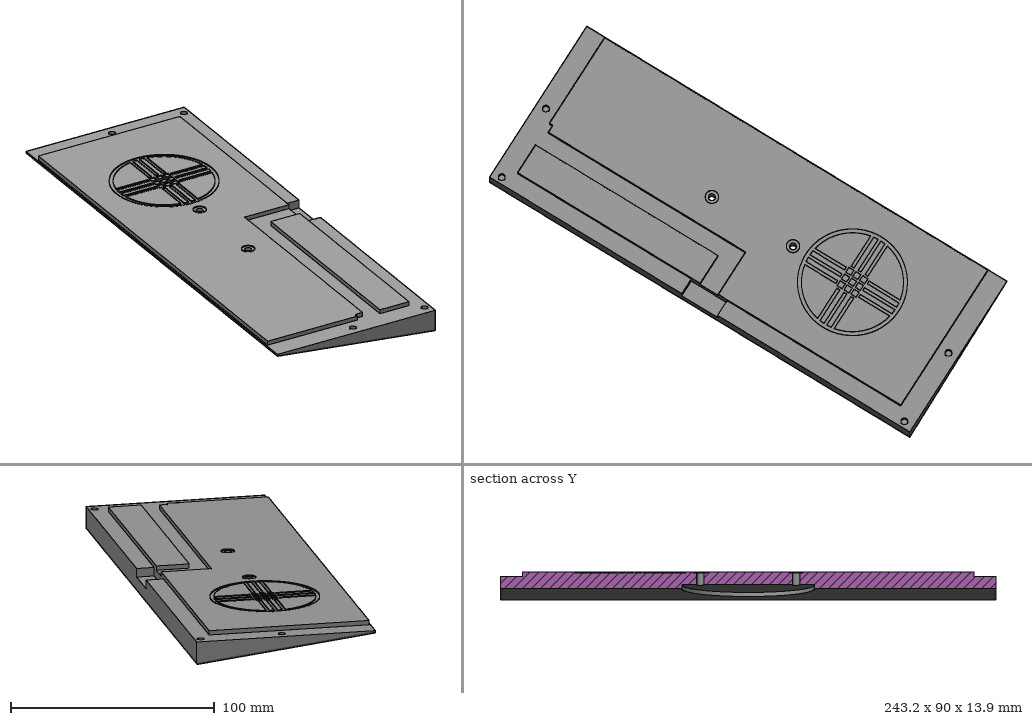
import cadquery as cq
import math

LENGTH = 243.2
DEPTH = 90.0
HEIGHT = 13.9
PLATE_HEIGHT = 2.2
LEDGE_Z = HEIGHT - PLATE_HEIGHT
FRONT_THICKNESS = 1.5
FRONT_BOTTOM_Z = LEDGE_Z - FRONT_THICKNESS
BOTTOM_RADIUS = 0.85
SLOPE = math.atan2(FRONT_BOTTOM_Z, DEPTH)
ROUNDING_LOSS = BOTTOM_RADIUS * (math.tan(SLOPE) + 1 / math.cos(SLOPE) - 1)

PLATE_SIDE_MARGIN = 10.7
PLATE_LEFT = PLATE_SIDE_MARGIN
PLATE_RIGHT = LENGTH - PLATE_SIDE_MARGIN
PLATE_FRONT = 0.7
PLATE_BACK = DEPTH - 8.8

CHANNEL_X = LENGTH / 2
ENTRY_WIDTH = 10.5
RUN_WIDTH = 8.8
RUN_FRONT = 56.0
RELIEF_LENGTH = 2.0
RELIEF_WIDTH = 4.1
NOTCH_WIDTH = 20.7
NOTCH_DEPTH = 4.4

CENTER_Y = 41.0

GRILLE_X = 63.7
RING_DIAMETER = 54.0
RING_INNER_DIAMETER = 50.0
GROOVE_COUNT = 3
GROOVE_WIDTH = 1.6
GROOVE_DEPTH = 0.5
CELL_SIZE = 3.0
CELL_WALL = 1.1
GROOVE_PITCH = CELL_SIZE + CELL_WALL
HUB_SIZE = GROOVE_COUNT * GROOVE_PITCH + CELL_WALL

RECESS_X = LENGTH / 2
RECESS_DIAMETER = 65.0
RECESS_DEPTH = 2.0

SCREW_SPACING = 47.0
SCREW_DIAMETER = 3.5
COUNTERBORE_DIAMETER = 6.5
COUNTERBORE_DEPTH = 0.5

PIN_DIAMETER = 3.5
PIN_DEPTH = 2.5
PIN_SIDE_MARGIN = 5.0
PIN_BACK_MARGIN = 3.2
PIN_ROW_SPACING = 40.9
PIN_ROWS = 2


def block(x_min, x_max, y_min, y_max, z_min, z_max):
    size = (x_max - x_min, y_max - y_min, z_max - z_min)
    return cq.Workplane("XY").box(*size, centered=False).translate((x_min, y_min, z_min))


def disc_below(x, y, diameter, top_z, depth):
    return cq.Workplane("XY", origin=(x, y, top_z)).circle(diameter / 2).extrude(-depth)


def wedge():
    profile = [(0, FRONT_BOTTOM_Z), (DEPTH, -ROUNDING_LOSS), (DEPTH, LEDGE_Z), (0, LEDGE_Z)]
    body = cq.Workplane("YZ").polyline(profile).close().extrude(LENGTH)
    return body.faces("<Z").edges().fillet(BOTTOM_RADIUS)


def plate():
    entry_left = CHANNEL_X - ENTRY_WIDTH / 2
    entry_right = CHANNEL_X + ENTRY_WIDTH / 2
    run_back = RUN_FRONT + RUN_WIDTH
    relief_left = PLATE_RIGHT - RELIEF_LENGTH
    relief_front = RUN_FRONT - RELIEF_WIDTH

    body = block(PLATE_LEFT, PLATE_RIGHT, PLATE_FRONT, PLATE_BACK, LEDGE_Z, HEIGHT)
    entry = block(entry_left, entry_right, RUN_FRONT, PLATE_BACK, LEDGE_Z, HEIGHT)
    run = block(entry_left, PLATE_RIGHT, RUN_FRONT, run_back, LEDGE_Z, HEIGHT)
    relief = block(relief_left, PLATE_RIGHT, relief_front, RUN_FRONT, LEDGE_Z, HEIGHT)
    return body.cut(entry).cut(run).cut(relief)


def back_notch():
    left = CHANNEL_X - NOTCH_WIDTH / 2
    right = CHANNEL_X + NOTCH_WIDTH / 2
    return block(left, right, PLATE_BACK, DEPTH, LEDGE_Z - NOTCH_DEPTH, LEDGE_Z)


def grille_disc(diameter):
    return disc_below(GRILLE_X, CENTER_Y, diameter, HEIGHT, GROOVE_DEPTH)


def grille_blocks(columns, rows, width, height):
    centers = cq.Workplane("XY", origin=(GRILLE_X, CENTER_Y, HEIGHT))
    grid = centers.rarray(GROOVE_PITCH, GROOVE_PITCH, columns, rows)
    return grid.rect(width, height).extrude(-GROOVE_DEPTH)


def grille_grooves():
    disc = grille_disc(RING_DIAMETER)
    ring = disc.cut(grille_disc(RING_INNER_DIAMETER))

    upright_arms = grille_blocks(GROOVE_COUNT, 1, GROOVE_WIDTH, RING_DIAMETER)
    level_arms = grille_blocks(1, GROOVE_COUNT, RING_DIAMETER, GROOVE_WIDTH)
    hub = grille_blocks(1, 1, HUB_SIZE, HUB_SIZE)
    arms = upright_arms.union(level_arms).intersect(disc).cut(hub)

    cells = grille_blocks(GROOVE_COUNT, GROOVE_COUNT, CELL_SIZE, CELL_SIZE)
    return ring.union(arms).union(cells)


def bottom_recess():
    rim_z = FRONT_BOTTOM_Z - (FRONT_BOTTOM_Z + ROUNDING_LOSS) * CENTER_Y / DEPTH
    disc = cq.Workplane("XY").circle(RECESS_DIAMETER / 2).extrude(RECESS_DEPTH, both=True)
    tilted = disc.rotate((0, 0, 0), (1, 0, 0), -math.degrees(SLOPE))
    return tilted.translate((RECESS_X, CENTER_Y, rim_z))


result = wedge().union(plate())
result = result.cut(back_notch()).cut(grille_grooves()).cut(bottom_recess())

for screw_x in (RECESS_X - SCREW_SPACING / 2, RECESS_X + SCREW_SPACING / 2):
    result = result.cut(disc_below(screw_x, CENTER_Y, SCREW_DIAMETER, HEIGHT, HEIGHT))
    result = result.cut(disc_below(screw_x, CENTER_Y, COUNTERBORE_DIAMETER, HEIGHT, COUNTERBORE_DEPTH))

for pin_x in (PIN_SIDE_MARGIN, LENGTH - PIN_SIDE_MARGIN):
    for row in range(PIN_ROWS):
        pin_y = DEPTH - PIN_BACK_MARGIN - row * PIN_ROW_SPACING
        result = result.cut(disc_below(pin_x, pin_y, PIN_DIAMETER, LEDGE_Z, PIN_DEPTH))